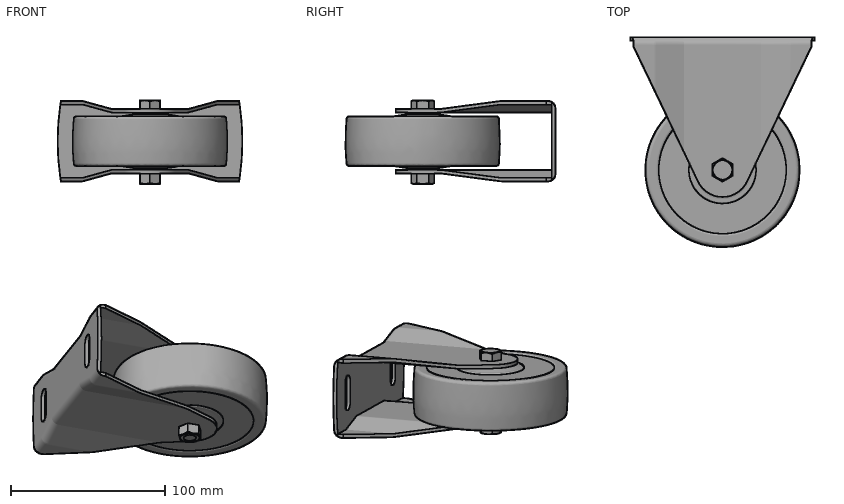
import cadquery as cq
import math


back_y = 86.0
sheet = 2.5
bend_radius = 5.0
leg_half_width = 57.7
plate_half_width = 59.8
leg_root_height = 26.1
leg_tip_height = 21.0
crank_start_x = 25.0
crank_end_x = 43.8
leg_corner_y = 79.8
leg_tip_radius = 17.5
slot_width = 8.5
slot_length = 23.1
slot_x = 40.1

tread_radius = 50.0
tread_edge_radius = 49.2
tyre_width = 32.2
tread_fillet = 1.9
bore_edge_radius = 43.0
bore_rounding = 2.0

web_width = 30.5
boss_radius = 20.8
boss_rounding = 1.0
dome_radius = 38.0 / 2
journal_radius = 19.5 / 2
dome_width = 35.1
dome_sphere_radius = 95.2

rounding_center_z = tyre_width / 2 - bore_rounding
rounding_end_angle = math.asin((web_width / 2 - rounding_center_z) / bore_rounding)
web_rim_radius = bore_edge_radius - bore_rounding * math.cos(rounding_end_angle)

shank_diameter = 8.0
bolt_hole_diameter = 8.5
hex_flats = 13.0
hex_chamfer_diameter = 12.5
hex_chamfer_angle = 30.0
head_height = 5.6
nut_height = 6.8


def folded_outline(half_width, root_height, tip_height, start_x, end_x):
    """Closed XZ outline that follows one face of both cranked legs."""
    upper_right = [(half_width, root_height), (end_x, root_height), (start_x, tip_height)]
    lower_right = [(x, -z) for x, z in reversed(upper_right)]
    right_side = lower_right + upper_right
    left_side = [(-x, z) for x, z in reversed(right_side)]
    return cq.Workplane("XZ").polyline(right_side + left_side).close()


def fold_edges(body, x, z):
    """Fold edges along Y that pass through the points (+-x, +-z)."""
    tolerance = 0.01

    def hit(edge):
        center = edge.Center()
        return abs(abs(center.x) - x) < tolerance and abs(abs(center.z) - z) < tolerance

    return body.edges("|Y").filter(hit)


def make_folded_sheet():
    """Full-width sheet folded into the back plate and the two cranked legs."""
    crank_angle = math.atan2(leg_root_height - leg_tip_height, crank_end_x - crank_start_x)
    fold_shift = sheet * math.tan(crank_angle / 2)
    inner_start_x = crank_start_x - fold_shift
    inner_end_x = crank_end_x - fold_shift
    inner_tip_height = leg_tip_height - sheet
    length = back_y + leg_tip_radius

    outside = (
        folded_outline(plate_half_width, leg_root_height, leg_tip_height, crank_start_x, crank_end_x)
        .extrude(length)
        .translate((0, back_y, 0))
    )
    outside = fold_edges(outside, crank_end_x, leg_root_height).fillet(bend_radius)
    outside = outside.faces(">Y").edges("not |Z").fillet(bend_radius)

    inside = (
        folded_outline(
            plate_half_width, leg_root_height - sheet, inner_tip_height, inner_start_x, inner_end_x
        )
        .extrude(length)
        .translate((0, back_y - sheet, 0))
    )
    inside = fold_edges(inside, inner_start_x, inner_tip_height).fillet(bend_radius)
    return outside.cut(inside)


def make_bracket():
    corner_distance = math.hypot(leg_half_width, leg_corner_y)
    tangent_angle = math.atan2(leg_corner_y, leg_half_width) - math.acos(leg_tip_radius / corner_distance)
    tip_x = leg_tip_radius * math.cos(tangent_angle)
    tip_y = leg_tip_radius * math.sin(tangent_angle)
    plate_inner_y = back_y - sheet
    legs = (
        cq.Workplane("XY", origin=(0, 0, -leg_root_height))
        .moveTo(leg_half_width, plate_inner_y)
        .lineTo(leg_half_width, leg_corner_y)
        .lineTo(tip_x, tip_y)
        .threePointArc((0, -leg_tip_radius), (-tip_x, tip_y))
        .lineTo(-leg_half_width, leg_corner_y)
        .lineTo(-leg_half_width, plate_inner_y)
        .close()
        .extrude(2 * leg_root_height)
    )
    plate = (
        cq.Workplane("XZ", origin=(0, back_y, 0))
        .moveTo(leg_half_width, -leg_root_height)
        .threePointArc((plate_half_width, 0), (leg_half_width, leg_root_height))
        .lineTo(-leg_half_width, leg_root_height)
        .threePointArc((-plate_half_width, 0), (-leg_half_width, -leg_root_height))
        .close()
        .extrude(sheet)
    )
    slots = (
        cq.Workplane("XZ", origin=(0, back_y, 0))
        .pushPoints([(-slot_x, 0), (slot_x, 0)])
        .slot2D(slot_length, slot_width, 90)
        .extrude(sheet)
    )
    bolt_holes = cq.Workplane("XY").circle(bolt_hole_diameter / 2).extrude(leg_root_height, both=True)
    return make_folded_sheet().intersect(legs.union(plate)).cut(slots).cut(bolt_holes)


def make_tyre():
    side_z = tyre_width / 2
    web_z = web_width / 2
    middle_angle = (rounding_end_angle + math.pi / 2) / 2
    middle_radius = bore_edge_radius - bore_rounding * math.cos(middle_angle)
    middle_z = rounding_center_z + bore_rounding * math.sin(middle_angle)
    blank = (
        cq.Workplane("XZ")
        .moveTo(bore_edge_radius, -side_z)
        .lineTo(tread_edge_radius, -side_z)
        .threePointArc((tread_radius, 0), (tread_edge_radius, side_z))
        .lineTo(bore_edge_radius, side_z)
        .threePointArc((middle_radius, middle_z), (web_rim_radius, web_z))
        .lineTo(web_rim_radius, -web_z)
        .threePointArc((middle_radius, -middle_z), (bore_edge_radius, -side_z))
        .close()
        .revolve(360, (0, 0, 0), (0, 1, 0))
    )
    outer_edges = cq.selectors.RadiusNthSelector(-1)
    return blank.faces("<Z or >Z").edges(outer_edges).fillet(tread_fillet)


def make_core():
    sphere_center_z = dome_width / 2 - math.sqrt(dome_sphere_radius**2 - journal_radius**2)

    def dome_z(radius):
        return sphere_center_z + math.sqrt(dome_sphere_radius**2 - radius**2)

    middle_radius = (dome_radius + journal_radius) / 2
    boss_z = dome_z(dome_radius)
    rounding_z = boss_z - boss_rounding
    half = (
        cq.Workplane("XZ")
        .moveTo(bolt_hole_diameter / 2, 0)
        .lineTo(web_rim_radius, 0)
        .lineTo(web_rim_radius, web_width / 2)
        .lineTo(boss_radius + boss_rounding, web_width / 2)
        .lineTo(boss_radius + boss_rounding, rounding_z)
        .radiusArc((boss_radius, boss_z), -boss_rounding)
        .lineTo(dome_radius, boss_z)
        .threePointArc((middle_radius, dome_z(middle_radius)), (journal_radius, dome_width / 2))
        .lineTo(journal_radius, leg_tip_height - sheet)
        .lineTo(bolt_hole_diameter / 2, leg_tip_height - sheet)
        .close()
        .revolve(360, (0, 0, 0), (0, 1, 0))
    )
    return half.union(half.mirror("XY"))


def make_hex(height):
    """Hexagonal head standing on z = 0, corners on +-Y, top corners chamfered."""
    corner_diameter = hex_flats / math.cos(math.pi / 6)
    corner_turn = 30
    rise = math.tan(math.radians(hex_chamfer_angle))
    chamfer_height = (corner_diameter - hex_chamfer_diameter) / 2 * rise
    prism = (
        cq.Workplane("XY")
        .polygon(6, corner_diameter)
        .extrude(height)
        .rotate((0, 0, 0), (0, 0, 1), corner_turn)
    )
    envelope = (
        cq.Workplane("XZ")
        .lineTo(corner_diameter / 2, 0)
        .lineTo(corner_diameter / 2, height - chamfer_height)
        .lineTo(hex_chamfer_diameter / 2, height)
        .lineTo(0, height)
        .close()
        .revolve(360, (0, 0, 0), (0, 1, 0))
    )
    return prism.intersect(envelope)


def make_bolt():
    head = make_hex(head_height).translate((0, 0, leg_tip_height))
    shank_end = -leg_tip_height - nut_height
    shank = (
        cq.Workplane("XY", origin=(0, 0, shank_end))
        .circle(shank_diameter / 2)
        .extrude(leg_tip_height - shank_end)
    )
    return head.union(shank)


def make_nut():
    nut = make_hex(nut_height).rotate((0, 0, 0), (1, 0, 0), 180).translate((0, 0, -leg_tip_height))
    bore = (
        cq.Workplane("XY", origin=(0, 0, -leg_tip_height - nut_height))
        .circle(shank_diameter / 2)
        .extrude(nut_height)
    )
    return nut.cut(bore)


bracket = make_bracket()
tyre = make_tyre()
core = make_core()
bolt = make_bolt()
nut = make_nut()

result = cq.Compound.makeCompound([bracket.val(), tyre.val(), core.val(), bolt.val(), nut.val()])